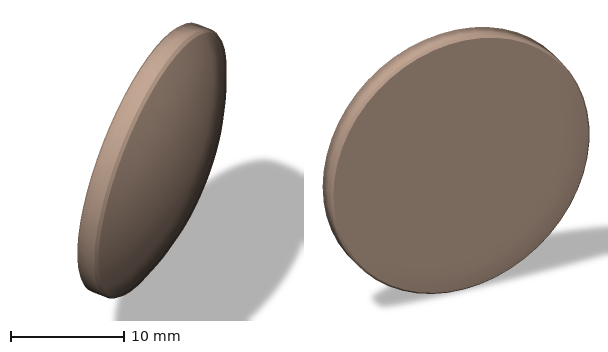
import cadquery as cq

diameter = 25.4
center_thickness = 5.3
back_chamfer = 0.2
rim_end = 1.78
dome_start = 2.08
dome_edge_radius = 12.5

rim_radius = diameter / 2

dome_height = center_thickness - dome_start
sphere_radius = (dome_edge_radius**2 + dome_height**2) / (2 * dome_height)
sphere_center_x = center_thickness - sphere_radius

mid_radius = dome_edge_radius / 2
mid_x = sphere_center_x + (sphere_radius**2 - mid_radius**2) ** 0.5

half_section = (
    cq.Workplane("XY")
    .moveTo(0, 0)
    .lineTo(0, rim_radius - back_chamfer)
    .lineTo(back_chamfer, rim_radius)
    .lineTo(rim_end, rim_radius)
    .lineTo(dome_start, dome_edge_radius)
    .threePointArc((mid_x, mid_radius), (center_thickness, 0))
    .close()
)

result = half_section.revolve(360, (0, 0, 0), (1, 0, 0))